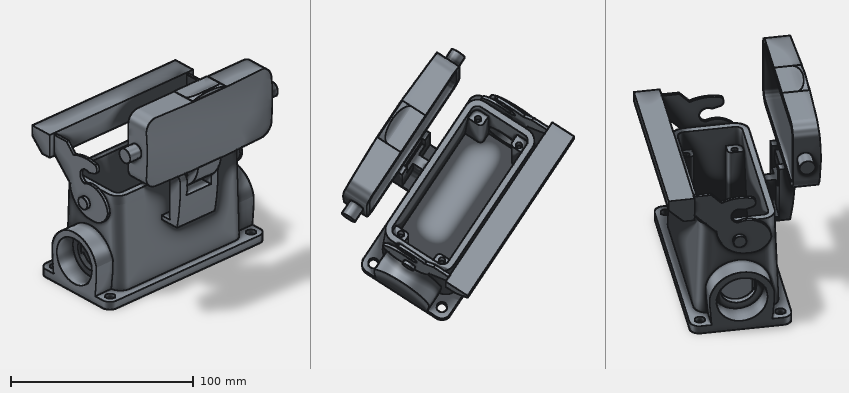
import cadquery as cq
import math


BASE_X = 56.8
BASE_Y = 117.0
BASE_HEIGHT = 5.0
BASE_CORNER_RADIUS = 5.4
MOUNT_HOLE_X = 22.4
MOUNT_HOLE_Y = 52.3
MOUNT_HOLE_RADIUS = 2.9

BODY_FOOT_X = 47.5
RIM_X = 43.3
BODY_Y = 93.0
BODY_CORNER_RADIUS = 7.5
TAPER_TOP = 58.4
RIM_TOP = 64.0
BODY_WALL = 3.6
CAVITY_CORNER_RADIUS = BODY_CORNER_RADIUS - BODY_WALL

POST_X = 13.5
POST_Y = 38.5
POST_TOP = 52.0
POST_REACH_X = 4.1
POST_REACH_Y = 2.6
POST_SCREW_RADIUS = 1.7
POST_SCREW_DEPTH = 10.0
POST_FILLET = 2.2

BOSS_AXIS_Z = 19.9
BOSS_TOP = 38.1
BOSS_FLANK_HALF = 17.9
BOSS_FLANK_TOP = 23.4
BOSS_FLANK_BOTTOM = 17.3
BOSS_FOOT_HALF = 17.0
ENTRY_RADIUS = 14.2
THROUGH_RADIUS = 10.2

PIVOT_Z = 54.0
PIVOT_RADIUS = 2.7
PIVOT_HEAD_RADIUS = 3.6
PIVOT_HEAD_END = 52.2
LEVER_INNER_Y = 48.3
LEVER_THICKNESS = 1.7
HANDLE_Y = 106.6
HANDLE_LEFT = -40.0
HANDLE_RIGHT = -25.5
HANDLE_TOP = 87.0
HANDLE_BOTTOM = 72.5
HANDLE_CHAMFER = 8.2
LEVER_PLATE_TOP = 85.8
LEVER_PLATE_HEEL = 73.9
LEVER_PLATE_BEND_X = -15.6

BRACKET_Y = 28.0
BRACKET_WINDOW_Y = 17.9
BRACKET_FRONT = 28.8
BRACKET_HEEL_X = 34.9
BRACKET_TIP_X = 31.8
BRACKET_BOTTOM = 38.6
BRACKET_FLOOR_TOP = 41.2
BRACKET_TOP = 72.6
BRACKET_ROOT_X = 21.2
BRACKET_RIB_Y = 6.0
BRACKET_RIB_FILLET = 3.9

COVER_OPEN_X = 30.6
COVER_CREST_X = 48.0
COVER_Y = 93.0
COVER_BOTTOM = 79.2
COVER_TOP = 122.3
COVER_CORNER_RADIUS = 7.5
COVER_WALL = 3.2
CROWN_RISE_Y = 1.7
CROWN_RISE_Z = 1.6
COVER_PIN_X = 37.1
COVER_PIN_RADIUS = 4.4
COVER_PIN_END = 54.9
TONGUE_Y = 16.8

GRIP_Y = 24.7
GRIP_PAD_RISE = 0.2
GRIP_START = 39.9
GRIP_LIP = 44.5
GRIP_END = 45.8
GRIP_TOP = 124.5
SCOOP_MIDPOINT = (42.2, 123.2)

COVER_HEIGHT = COVER_TOP - COVER_BOTTOM
COVER_MID_Z = (COVER_TOP + COVER_BOTTOM) / 2


def tapered_form(inset, radius, bottom):
    """Body form, moved in from the outside by the inset, from the given height to the rim."""
    slope = (BODY_FOOT_X - RIM_X) / (TAPER_TOP - BASE_HEIGHT)
    foot_x = RIM_X + slope * (TAPER_TOP - bottom) - 2 * inset
    rim_x = RIM_X - 2 * inset
    y_size = BODY_Y - 2 * inset
    return (
        cq.Workplane("XZ")
        .moveTo(-foot_x / 2, bottom)
        .lineTo(foot_x / 2, bottom)
        .lineTo(rim_x / 2, TAPER_TOP)
        .lineTo(rim_x / 2, RIM_TOP)
        .lineTo(-rim_x / 2, RIM_TOP)
        .lineTo(-rim_x / 2, TAPER_TOP)
        .close()
        .extrude(y_size / 2, both=True)
        .edges("(not #Z) and (not |Y)")
        .fillet(radius)
    )


def make_base():
    """Flange with four mounting holes."""
    return (
        cq.Workplane("XY")
        .rect(BASE_X, BASE_Y)
        .extrude(BASE_HEIGHT)
        .edges("|Z")
        .fillet(BASE_CORNER_RADIUS)
        .faces(">Z")
        .workplane()
        .rect(2 * MOUNT_HOLE_X, 2 * MOUNT_HOLE_Y, forConstruction=True)
        .vertices()
        .hole(2 * MOUNT_HOLE_RADIUS)
    )


def make_bosses():
    """Arched bosses that run through both ends of the body."""
    return (
        cq.Workplane("XZ")
        .moveTo(-BOSS_FOOT_HALF, 0)
        .lineTo(-BOSS_FOOT_HALF, BASE_HEIGHT)
        .lineTo(-BOSS_FLANK_HALF, BOSS_FLANK_BOTTOM)
        .lineTo(-BOSS_FLANK_HALF, BOSS_FLANK_TOP)
        .threePointArc((0, BOSS_TOP), (BOSS_FLANK_HALF, BOSS_FLANK_TOP))
        .lineTo(BOSS_FLANK_HALF, BOSS_FLANK_BOTTOM)
        .lineTo(BOSS_FOOT_HALF, BASE_HEIGHT)
        .lineTo(BOSS_FOOT_HALF, 0)
        .close()
        .extrude(BASE_Y / 2, both=True)
    )


def make_cable_entry():
    """Stepped hole from the -Y face into the cavity."""
    axis_start = cq.Workplane("XZ", origin=(0, -BASE_Y / 2, BOSS_AXIS_Z))
    wide = axis_start.circle(ENTRY_RADIUS).extrude(-(BASE_Y - BODY_Y) / 2)
    narrow = axis_start.circle(THROUGH_RADIUS).extrude(-BASE_Y / 2)
    return wide.union(narrow)


def make_post(x_side, y_side):
    """Screw post filling one corner of the cavity."""
    x_inner = POST_X - POST_REACH_X
    y_inner = POST_Y - POST_REACH_Y
    x_size = BODY_FOOT_X / 2 - x_inner
    y_size = BODY_Y / 2 - y_inner
    height = POST_TOP - BASE_HEIGHT
    inner_edge = cq.selectors.NearestToPointSelector(
        (x_side * x_inner, y_side * y_inner, BASE_HEIGHT + height / 2)
    )
    post = (
        cq.Workplane("XY", origin=(0, 0, BASE_HEIGHT))
        .center(x_side * (x_inner + x_size / 2), y_side * (y_inner + y_size / 2))
        .rect(x_size, y_size)
        .extrude(height)
        .edges("|Z")
        .edges(inner_edge)
        .fillet(POST_FILLET)
    )
    screw_hole = (
        cq.Workplane("XY", origin=(x_side * POST_X, y_side * POST_Y, POST_TOP))
        .circle(POST_SCREW_RADIUS)
        .extrude(-POST_SCREW_DEPTH)
    )
    wall_middle = tapered_form(BODY_WALL / 2, BODY_CORNER_RADIUS - BODY_WALL / 2, BASE_HEIGHT)
    return post.intersect(wall_middle).cut(screw_hole)


def make_bracket():
    """Fork on the +X wall: floor, plate with an open window, and a stiffening rib."""
    plate = (
        cq.Workplane("XZ")
        .moveTo(BRACKET_FRONT, BRACKET_BOTTOM)
        .lineTo(BRACKET_HEEL_X, BRACKET_BOTTOM)
        .threePointArc((36.9, 52.3), (37.5, 66.5))
        .threePointArc((35.9, 71.1), (BRACKET_TIP_X, BRACKET_TOP))
        .lineTo(BRACKET_FRONT, BRACKET_TOP)
        .close()
        .extrude(BRACKET_Y / 2, both=True)
    )
    window = (
        cq.Workplane("XY", origin=(0, 0, TAPER_TOP))
        .rect(2 * BASE_X, BRACKET_WINDOW_Y)
        .extrude(BRACKET_TOP)
    )
    floor_and_rib = (
        cq.Workplane("YZ", origin=(BRACKET_ROOT_X, 0, 0))
        .moveTo(-BRACKET_Y / 2, BRACKET_BOTTOM)
        .lineTo(BRACKET_Y / 2, BRACKET_BOTTOM)
        .lineTo(BRACKET_Y / 2, BRACKET_FLOOR_TOP)
        .lineTo(BRACKET_RIB_Y / 2 + BRACKET_RIB_FILLET, BRACKET_FLOOR_TOP)
        .radiusArc((BRACKET_RIB_Y / 2, BRACKET_FLOOR_TOP + BRACKET_RIB_FILLET), BRACKET_RIB_FILLET)
        .lineTo(BRACKET_RIB_Y / 2, TAPER_TOP)
        .lineTo(-BRACKET_RIB_Y / 2, TAPER_TOP)
        .lineTo(-BRACKET_RIB_Y / 2, BRACKET_FLOOR_TOP + BRACKET_RIB_FILLET)
        .radiusArc((-BRACKET_RIB_Y / 2 - BRACKET_RIB_FILLET, BRACKET_FLOOR_TOP), BRACKET_RIB_FILLET)
        .lineTo(-BRACKET_Y / 2, BRACKET_FLOOR_TOP)
        .close()
        .extrude(BRACKET_FRONT - BRACKET_ROOT_X)
    )
    return plate.cut(window).union(floor_and_rib)


def make_lever_plate(y_side):
    """Side plate of the lever: arm, hook finger, catch slot and rounded lobe around the pivot."""
    return (
        cq.Workplane("XZ", origin=(0, y_side * (LEVER_INNER_Y + LEVER_THICKNESS / 2), 0))
        .moveTo(HANDLE_RIGHT, LEVER_PLATE_HEEL)
        .lineTo(HANDLE_RIGHT, LEVER_PLATE_TOP)
        .lineTo(LEVER_PLATE_BEND_X, LEVER_PLATE_TOP)
        .lineTo(-9.8, 79.7)
        .threePointArc((-0.5, 81.7), (7.7, 80.7))
        .threePointArc((9.2, 77.8), (7.5, 75.1))
        .lineTo(2.6, 73.7)
        .threePointArc((-4.5, 70.0), (-0.7, 65.5))
        .threePointArc((5.1, 66.5), (11.3, 64.5))
        .threePointArc((16.3, 59.5), (17.9, 54.0))
        .threePointArc((14.3, 47.7), (5.1, 44.7))
        .threePointArc((-6.1, 48.2), (-12.3, 58.3))
        .lineTo(-12.6, 60.5)
        .close()
        .extrude(LEVER_THICKNESS / 2, both=True)
    )


def make_lever_pivot(y_side):
    """Headed pivot from the body's end wall out through a lever plate."""
    wall_y = BODY_Y / 2 - BODY_WALL / 2
    axis = cq.Workplane("XZ", origin=(0, y_side * wall_y, PIVOT_Z))
    shank = axis.circle(PIVOT_RADIUS).extrude(-y_side * (LEVER_INNER_Y - wall_y))
    head = (
        axis.workplane(offset=-y_side * (LEVER_INNER_Y - wall_y))
        .circle(PIVOT_HEAD_RADIUS)
        .extrude(-y_side * (PIVOT_HEAD_END - LEVER_INNER_Y))
    )
    return shank.union(head)


def make_handle():
    """Bar that joins the two lever plates."""
    return (
        cq.Workplane("XZ")
        .moveTo(HANDLE_LEFT, HANDLE_TOP)
        .lineTo(HANDLE_RIGHT, HANDLE_TOP)
        .lineTo(HANDLE_RIGHT, HANDLE_BOTTOM)
        .lineTo(HANDLE_LEFT + HANDLE_CHAMFER, HANDLE_BOTTOM)
        .lineTo(HANDLE_LEFT, HANDLE_BOTTOM + HANDLE_CHAMFER)
        .close()
        .extrude(HANDLE_Y / 2, both=True)
    )


def make_housing():
    """Housing with its hinge bracket and the riveted locking lever."""
    housing = make_base().union(tapered_form(0, BODY_CORNER_RADIUS, BASE_HEIGHT))
    housing = housing.union(make_bosses()).union(make_bracket())
    housing = housing.cut(tapered_form(BODY_WALL, CAVITY_CORNER_RADIUS, BASE_HEIGHT))
    housing = housing.cut(make_cable_entry())
    for y_side in (-1, 1):
        for x_side in (-1, 1):
            housing = housing.union(make_post(x_side, y_side))
        housing = housing.union(make_lever_pivot(y_side)).union(make_lever_plate(y_side))
    return housing.union(make_handle())


def make_crown(crest_x):
    """Barrel form whose +X side bulges along both Y and Z up to the crest."""
    half_y = COVER_Y / 2
    half_z = COVER_HEIGHT / 2
    sweep_radius = (half_y**2 + CROWN_RISE_Y**2) / (2 * CROWN_RISE_Y)
    edge_radius = sweep_radius - CROWN_RISE_Z
    core_radius = sweep_radius - COVER_HEIGHT
    half_angle = math.degrees(math.asin(BASE_Y / 2 / sweep_radius))
    profile = (
        cq.Workplane("XZ")
        .moveTo(core_radius, -half_z)
        .lineTo(edge_radius, -half_z)
        .threePointArc((sweep_radius, 0), (edge_radius, half_z))
        .lineTo(core_radius, half_z)
        .close()
    )
    return (
        profile.revolve(2 * half_angle, (0, 0, 0), (0, 1, 0))
        .rotate((0, 0, 0), (0, 0, 1), -half_angle)
        .translate((crest_x - sweep_radius, 0, COVER_MID_Z))
    )


def make_cover_form(inset):
    """Rounded box under the crown, moved in from the cover's outside by the inset."""
    sketch = (
        cq.Sketch()
        .rect(COVER_Y - 2 * inset, COVER_HEIGHT - 2 * inset)
        .vertices()
        .fillet(COVER_CORNER_RADIUS - inset)
    )
    box = (
        cq.Workplane("YZ", origin=(COVER_OPEN_X, 0, COVER_MID_Z))
        .placeSketch(sketch)
        .extrude(COVER_CREST_X - COVER_OPEN_X)
    )
    return box.intersect(make_crown(COVER_CREST_X - inset))


def make_tongue():
    """Curved hinge tongue with a knuckle lying between the bracket arms."""
    tongue_front = 36.9
    tongue_back = 46.0
    knuckle_front = 30.4
    knuckle_back = 34.9
    knuckle_top = 70.1
    knuckle_bottom = 62.9
    return (
        cq.Workplane("XZ")
        .moveTo(tongue_front, COVER_BOTTOM + COVER_WALL / 2)
        .lineTo(tongue_front, knuckle_top)
        .lineTo(knuckle_front, knuckle_top)
        .lineTo(knuckle_front, knuckle_bottom)
        .lineTo(knuckle_back, knuckle_bottom)
        .threePointArc((42.7, 70.0), (tongue_back, COVER_BOTTOM))
        .lineTo(tongue_back, COVER_BOTTOM + COVER_WALL / 2)
        .close()
        .extrude(TONGUE_Y / 2, both=True)
    )


def make_grip():
    """Low pad on the top edge with a lens-shaped lip, scooped out on its -X side."""
    pad_top = COVER_TOP + GRIP_PAD_RISE
    pad = (
        cq.Workplane("YZ", origin=(COVER_OPEN_X, 0, (pad_top + COVER_TOP - COVER_WALL / 2) / 2))
        .rect(GRIP_Y, COVER_WALL / 2 + GRIP_PAD_RISE)
        .extrude(GRIP_END - COVER_OPEN_X)
    )
    lens = (
        cq.Workplane("YZ", origin=(GRIP_START, 0, 0))
        .moveTo(-GRIP_Y / 2, COVER_TOP - COVER_WALL / 2)
        .lineTo(-GRIP_Y / 2, pad_top)
        .threePointArc((0, GRIP_TOP), (GRIP_Y / 2, pad_top))
        .lineTo(GRIP_Y / 2, COVER_TOP - COVER_WALL / 2)
        .close()
        .extrude(GRIP_END - GRIP_START)
    )
    scoop = (
        cq.Workplane("XZ")
        .moveTo(GRIP_START, pad_top)
        .threePointArc(SCOOP_MIDPOINT, (GRIP_LIP, GRIP_TOP))
        .lineTo(GRIP_START, GRIP_TOP)
        .close()
        .extrude(GRIP_Y, both=True)
    )
    return pad.union(lens.cut(scoop))


def make_cover_pins():
    """Locking pins that stick out of both ends of the cover."""
    return (
        cq.Workplane("XZ", origin=(COVER_PIN_X, 0, COVER_MID_Z))
        .circle(COVER_PIN_RADIUS)
        .extrude(COVER_PIN_END, both=True)
    )


def make_cover():
    """Crowned cover with locking pins, thumb grip and hinge tongue."""
    solid_cover = make_cover_form(0).union(make_cover_pins()).union(make_tongue()).union(make_grip())
    return solid_cover.cut(make_cover_form(COVER_WALL))


housing = make_housing()
cover = make_cover()
result = cq.Compound.makeCompound([housing.val(), cover.val()])